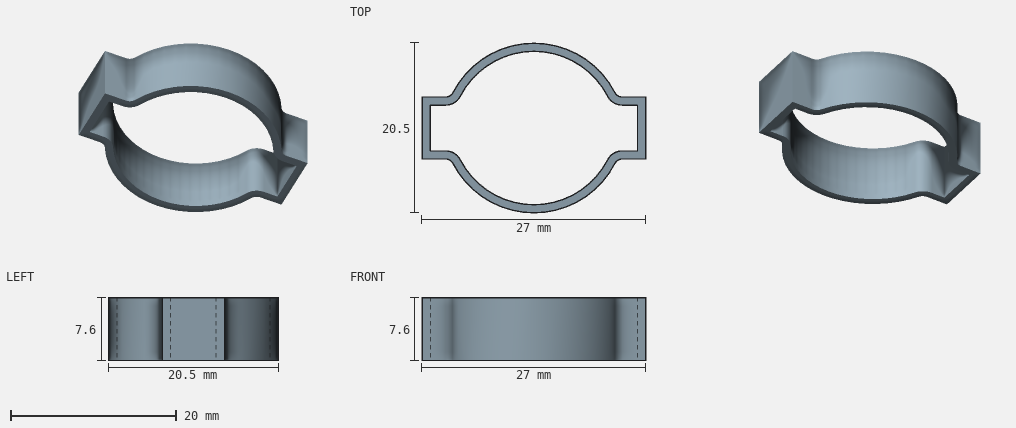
import cadquery as cq
import math

length = 27.0
height = 7.6
wall = 1.0
box_width = 7.5
bow_radius = 11.0
bow_offset = 0.75
blend_radius = 1.0


def closed_outline(half_length, half_width, bow, blend):
    """Closed prism bounded by two bows, four blends and two square ends."""
    blend_y = half_width + blend
    center_rise = blend_y + bow_offset
    blend_x = math.sqrt((bow + blend) ** 2 - center_rise ** 2)

    share = bow / (bow + blend)
    touch_x = blend_x * share
    touch_y = center_rise * share - bow_offset

    touch_angle = math.atan2(-center_rise, -blend_x)
    middle_angle = (touch_angle - math.pi / 2) / 2
    middle_x = blend_x + blend * math.cos(middle_angle)
    middle_y = blend_y + blend * math.sin(middle_angle)
    crown_y = bow - bow_offset

    return (
        cq.Workplane("XY")
        .moveTo(-half_length, -half_width)
        .lineTo(-half_length, half_width)
        .lineTo(-blend_x, half_width)
        .threePointArc((-middle_x, middle_y), (-touch_x, touch_y))
        .threePointArc((0, crown_y), (touch_x, touch_y))
        .threePointArc((middle_x, middle_y), (blend_x, half_width))
        .lineTo(half_length, half_width)
        .lineTo(half_length, -half_width)
        .lineTo(blend_x, -half_width)
        .threePointArc((middle_x, -middle_y), (touch_x, -touch_y))
        .threePointArc((0, -crown_y), (-touch_x, -touch_y))
        .threePointArc((-middle_x, -middle_y), (-blend_x, -half_width))
        .close()
        .extrude(height)
    )


outer = closed_outline(length / 2, box_width / 2, bow_radius, blend_radius)
inner = closed_outline(
    length / 2 - wall,
    box_width / 2 - wall,
    bow_radius - wall,
    blend_radius + wall,
)

result = outer.cut(inner)